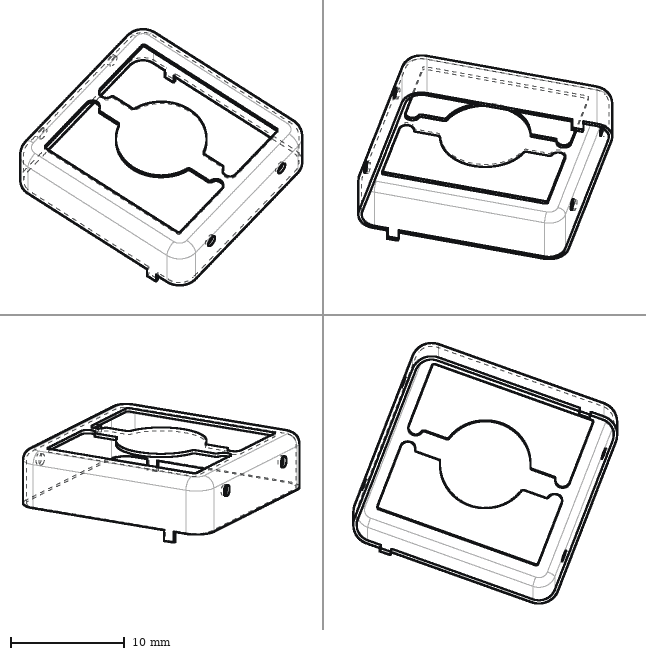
import cadquery as cq

length = 19.1
width = 18.2
height = 5.0
sheet = 0.3
corner_radius = 1.8
top_radius = 1.0

rim = 2.0
window_length = length - 2 * rim
window_width = width - 2 * rim
disc_radius = 4.0
arm_width = 2.0
relief_radius = 0.65
small_radius = 0.2

hole_diameter = 1.0
hole_spacing = 10.0
hole_height = 3.19

tab_width = 1.0
tab_drop = 1.0
tab_spacing = 12.03


def rounded_block(inset):
    """Block with rounded top, moved inward from the outer faces by inset."""
    return (
        cq.Workplane("XY")
        .rect(length - 2 * inset, width - 2 * inset)
        .extrude(height - inset)
        .edges("|Z")
        .fillet(corner_radius - inset)
        .faces(">Z")
        .edges()
        .fillet(top_radius - inset)
    )


def half_window():
    """Cutter for the window on the +Y side of the bridge."""
    floor = height - 2 * sheet
    depth = 3 * sheet
    arm_edge = arm_width / 2
    opening_width = window_width / 2 - arm_edge
    relief_x = window_length / 2 - relief_radius

    plane = cq.Workplane("XY").workplane(offset=floor)
    opening = plane.center(0, arm_edge + opening_width / 2).rect(window_length, opening_width).extrude(depth)
    disc = plane.circle(disc_radius).extrude(depth)
    reliefs = plane.pushPoints([(-relief_x, arm_edge), (relief_x, arm_edge)]).circle(relief_radius).extrude(depth)
    cutter = opening.cut(disc).union(reliefs)

    cutter = cutter.edges("|Z and >Y").fillet(small_radius)

    arm_corners = cq.selectors.BoxSelector(
        (-relief_x, arm_edge - small_radius, floor - depth),
        (relief_x, arm_edge + small_radius, floor + 2 * depth),
    )
    return cutter.edges("|Z").edges(arm_corners).fillet(small_radius)


def wall_holes():
    """Cutters running along X through both side walls."""
    return (
        cq.Workplane("YZ")
        .pushPoints([(-hole_spacing / 2, hole_height), (hole_spacing / 2, hole_height)])
        .circle(hole_diameter / 2)
        .extrude(length, both=True)
    )


def tabs():
    """Two diagonally opposite tabs flush with the outer Y faces, hanging from the lower rim."""
    tab_x = tab_spacing / 2
    tab_y = (width - sheet) / 2
    return (
        cq.Workplane("XY")
        .pushPoints([(-tab_x, tab_y), (tab_x, -tab_y)])
        .rect(tab_width, sheet)
        .extrude(-tab_drop)
    )


shell = rounded_block(0).cut(rounded_block(sheet))
window = half_window()
shell = shell.cut(window).cut(window.mirror("XZ"))
shell = shell.cut(wall_holes())
result = shell.union(tabs())